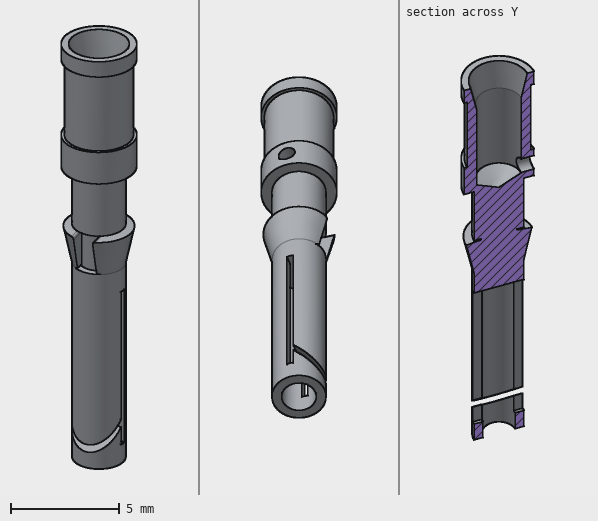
import cadquery as cq
import math

total_height = 21.6
rim_height = 0.8
collar_bottom = 15.2
collar_height = 1.65
groove_bottom = 10.2
groove_top = 12.2
ring_height = 1.88
ring_crown = 0.09

rim_dia = 3.5
collar_dia = 3.5
barrel_dia = 3.2
shaft_dia = 2.5
neck_dia = 1.8
ring_top_dia = 3.3

wire_entry_dia = 2.8
wire_bore_dia = 2.2
wire_entry_depth = 1.4
wire_bore_depth = 6.0
drill_point_angle = 130

inspection_dia = 0.8
inspection_height = collar_bottom + collar_height / 2

ring_gap = 1.0
ring_end_radius = 0.12

socket_dia = 1.6
slit_width = 0.3
slit_bottom = 1.0
slit_top = 9.0
slant_inner_height = 1.93
slant_angle = 45
slant_rise = 0.39


def cylinder(diameter, bottom, height):
    """Cylinder on the Z axis."""
    return cq.Workplane("XY").workplane(offset=bottom).circle(diameter / 2).extrude(height)


def revolved(profile):
    """Solid of revolution about Z from (radius, height) points."""
    return cq.Workplane("XZ").polyline(profile).close().revolve(360, (0, 0), (0, 1))


def contact_body():
    """Stepped pin with a reduced neck that carries the clip ring."""
    collar_top = collar_bottom + collar_height
    rim_bottom = total_height - rim_height
    body = cylinder(shaft_dia, 0, groove_bottom)
    body = body.union(cylinder(neck_dia, groove_bottom, groove_top - groove_bottom))
    body = body.union(cylinder(shaft_dia, groove_top, collar_bottom - groove_top))
    body = body.union(cylinder(collar_dia, collar_bottom, collar_height))
    body = body.union(cylinder(barrel_dia, collar_top, rim_bottom - collar_top))
    return body.union(cylinder(rim_dia, rim_bottom, rim_height))


def clip_ring():
    """Flared ring around the neck, open on the -Y side, with rounded upper and lower end edges."""
    ring_top = groove_bottom + ring_height
    neck_radius = neck_dia / 2
    ring = revolved([
        (neck_radius, groove_bottom),
        (shaft_dia / 2, groove_bottom),
        (ring_top_dia / 2, ring_top),
        (neck_radius, ring_top + ring_crown),
    ])
    gap = (
        cq.Workplane("XY")
        .workplane(offset=groove_bottom)
        .rect(ring_gap, ring_top_dia)
        .extrude(groove_top - groove_bottom)
        .translate((0, -ring_top_dia / 2, 0))
    )
    ring = ring.cut(gap)
    end_faces = ring.faces("|X")
    return ring.newObject(end_faces.edges("<Z or >Z").vals()).fillet(ring_end_radius)


def wire_bore():
    """Tapered entry leading to a blind bore with a conical floor."""
    bore_radius = wire_bore_dia / 2
    floor_height = total_height - wire_bore_depth
    point_depth = bore_radius / math.tan(math.radians(drill_point_angle / 2))
    return revolved([
        (0, floor_height - point_depth),
        (bore_radius, floor_height),
        (bore_radius, total_height - wire_entry_depth),
        (wire_entry_dia / 2, total_height),
        (0, total_height),
    ])


def inspection_hole():
    """Radial hole from the -X side into the wire bore."""
    return (
        cq.Workplane("YZ")
        .center(0, inspection_height)
        .circle(inspection_dia / 2)
        .extrude(-collar_dia)
    )


def slit():
    """Narrow slit across both side walls of the socket."""
    return (
        cq.Workplane("XY")
        .workplane(offset=slit_bottom)
        .rect(2 * shaft_dia, slit_width)
        .extrude(slit_top - slit_bottom)
    )


def slanted_cut():
    """Slanted cut falling from the slit to the outside of the -Y wall."""
    run = shaft_dia
    fall = run * math.tan(math.radians(slant_angle))
    inner_y = -slit_width / 2
    outer_height = slant_inner_height - fall
    return (
        cq.Workplane("YZ")
        .polyline([
            (inner_y, slant_inner_height),
            (inner_y - run, outer_height),
            (inner_y - run, outer_height + slant_rise),
            (inner_y, slant_inner_height + slant_rise),
        ])
        .close()
        .extrude(shaft_dia, both=True)
    )


result = contact_body().union(clip_ring())
result = result.cut(wire_bore())
result = result.cut(inspection_hole())
result = result.cut(cylinder(socket_dia, 0, slit_top))
result = result.cut(slit())
result = result.cut(slanted_cut())